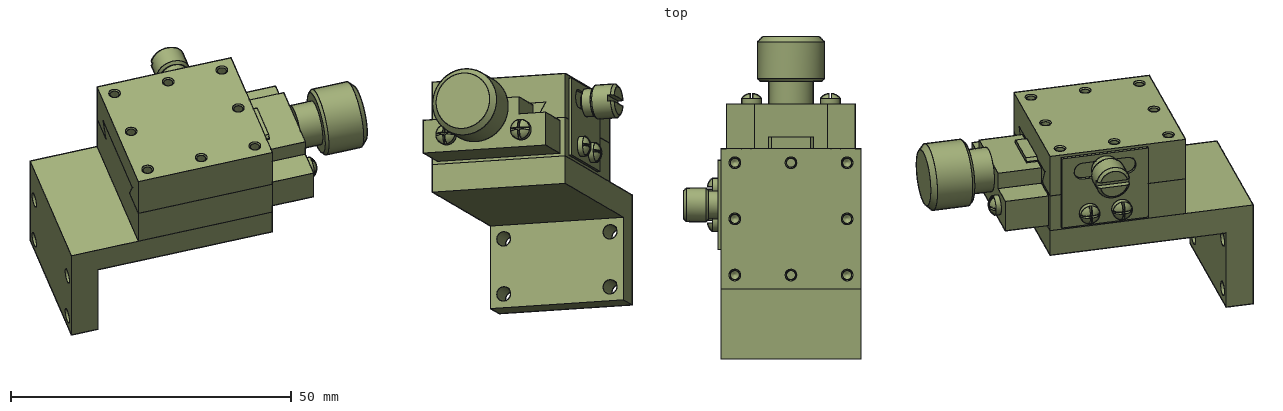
import cadquery as cq
import math


stage_width = 25.0
stage_length = 25.0
carriage_height = 8.0
base_height = 7.0
left_side = -stage_width / 2
base_bottom = -base_height

bracket_thickness = 5.0
bracket_overhang = 12.5
leg_drop = 15.0
bracket_hole_diameter = 2.6
bracket_hole_spacing_x = 20.0
bracket_hole_spacing_z = 10.0
bracket_hole_margin = 2.55

rail_height = 3.0
rail_top_width = 17.7
rail_flank_angle = 60
rail_neck_width = rail_top_width - 2 * rail_height / math.tan(math.radians(rail_flank_angle))

mount_hole_spacing = 20.0
mount_hole_diameter = 1.6
mount_hole_depth = 6.0
mount_hole_mouth_diameter = 2.05
drill_point_angle = 118

tab_width = 8.0
tab_length = 2.05
tab_height = 0.75
tab_chamfer = 0.5

block_width = 23.0
block_length = 8.0
block_centre_width = 13.0
block_top = 2.6
block_wing_top = -0.5
block_bottom_gap = 0.5
block_bottom = base_bottom + block_bottom_gap

knob_diameter = 12.0
knob_length = 8.0
knob_rear_chamfer = 1.0
knob_front_chamfer = 0.5
knob_neck_diameter = 8.0
knob_neck_length = 4.0

plate_thickness = 0.5
plate_length = 16.0
plate_rear_setback = 2.0
plate_edge_gap = 0.5
plate_height = base_height + carriage_height - 2 * plate_edge_gap
plate_centre_y = -plate_rear_setback - plate_length / 2
plate_centre_z = base_bottom + plate_edge_gap + plate_height / 2
plate_outer_x = left_side - plate_thickness
plate_slot_length = 11.4
plate_slot_height = 3.2

clamp_axis_z = carriage_height - 3.5
clamp_protrusion = 6.65
clamp_head_diameter = 6.1
clamp_head_length = 4.5
clamp_outer_chamfer = 0.5
clamp_inner_chamfer = 0.45
clamp_collar_diameter = 5.0
clamp_stem_diameter = 3.0
clamp_slot_width = 1.1
clamp_slot_depth = 1.1
clamp_end_x = left_side - clamp_protrusion

dome_screw_diameter = 3.55
dome_rim_height = 1.0
dome_rise = 0.9
dome_slot_width = 0.4
rear_screw_spacing = 14.05
rear_screw_z = carriage_height - 11.5
side_screw_spacing = 6.0
side_screw_z = carriage_height - 12.0


def rail_profile():
    """Dovetail section in XZ, standing on the sliding plane."""
    return (
        cq.Workplane("XZ")
        .moveTo(-rail_neck_width / 2, 0)
        .lineTo(rail_neck_width / 2, 0)
        .lineTo(rail_top_width / 2, rail_height)
        .lineTo(-rail_top_width / 2, rail_height)
        .close()
    )


def stage_block(bottom, height):
    """Full-width block whose rear face is at Y = 0."""
    return (
        cq.Workplane("XY")
        .box(stage_width, stage_length, height, centered=(True, False, False))
        .translate((0, -stage_length, bottom))
    )


def dome_screw_head():
    """Dome head standing on the XY plane with its axis along +Z and a cross slot in the dome."""
    radius = dome_screw_diameter / 2
    full_height = dome_rim_height + dome_rise
    sphere_radius = (radius**2 + dome_rise**2) / (2 * dome_rise)
    middle_angle = math.asin(radius / sphere_radius) / 2
    arc_middle = (
        sphere_radius * math.sin(middle_angle),
        full_height - sphere_radius * (1 - math.cos(middle_angle)),
    )
    head = (
        cq.Workplane("XZ")
        .lineTo(radius, 0)
        .lineTo(radius, dome_rim_height)
        .threePointArc(arc_middle, (0, full_height))
        .close()
        .revolve(360, (0, 0, 0), (0, 1, 0))
    )
    for length_x, length_y in [
        (dome_screw_diameter, dome_slot_width),
        (dome_slot_width, dome_screw_diameter),
    ]:
        slot = cq.Workplane("XY").box(length_x, length_y, dome_rise, centered=(True, True, False))
        head = head.cut(slot.translate((0, 0, dome_rim_height)))
    return head


def make_bracket():
    """Angle bracket: a flange under the base and a drilled leg hanging at its front end."""
    flange_top = base_bottom
    front = -stage_length - bracket_overhang
    leg_bottom = flange_top - bracket_thickness - leg_drop
    outline = [
        (0, flange_top),
        (front, flange_top),
        (front, leg_bottom),
        (front + bracket_thickness, leg_bottom),
        (front + bracket_thickness, flange_top - bracket_thickness),
        (0, flange_top - bracket_thickness),
    ]
    bracket = cq.Workplane("YZ").polyline(outline).close().extrude(stage_width / 2, both=True)
    hole_pattern_z = leg_bottom + bracket_hole_margin + bracket_hole_spacing_z / 2
    holes = (
        cq.Workplane("XZ", origin=(0, front, hole_pattern_z))
        .rarray(bracket_hole_spacing_x, bracket_hole_spacing_z, 2, 2)
        .circle(bracket_hole_diameter / 2)
        .extrude(-bracket_thickness)
    )
    return bracket.cut(holes)


def make_bearing_block():
    """Stepped block behind the base: a raised centre between two lower wings."""
    return (
        cq.Workplane("XZ")
        .moveTo(-block_width / 2, block_bottom)
        .lineTo(block_width / 2, block_bottom)
        .lineTo(block_width / 2, block_wing_top)
        .lineTo(block_centre_width / 2, block_wing_top)
        .lineTo(block_centre_width / 2, block_top)
        .lineTo(-block_centre_width / 2, block_top)
        .lineTo(-block_centre_width / 2, block_wing_top)
        .lineTo(-block_width / 2, block_wing_top)
        .close()
        .extrude(-block_length)
    )


def make_knob():
    """Adjusting knob and its neck, turned about the Y axis."""
    neck_radius = knob_neck_diameter / 2
    knob_radius = knob_diameter / 2
    knob_front = block_length + knob_neck_length
    knob_rear = knob_front + knob_length
    return (
        cq.Workplane("XY")
        .moveTo(0, block_length)
        .lineTo(neck_radius, block_length)
        .lineTo(neck_radius, knob_front)
        .lineTo(knob_radius - knob_front_chamfer, knob_front)
        .lineTo(knob_radius, knob_front + knob_front_chamfer)
        .lineTo(knob_radius, knob_rear - knob_rear_chamfer)
        .lineTo(knob_radius - knob_rear_chamfer, knob_rear)
        .lineTo(0, knob_rear)
        .close()
        .revolve(360, (0, 0, 0), (0, 1, 0))
    )


def make_lock_plate():
    """Thin plate on the left side with a slot along the travel for the clamp screw."""
    plate = (
        cq.Workplane("YZ", origin=(plate_outer_x, plate_centre_y, plate_centre_z))
        .rect(plate_length, plate_height)
        .extrude(plate_thickness)
    )
    slot = (
        cq.Workplane("YZ", origin=(plate_outer_x, plate_centre_y, clamp_axis_z))
        .slot2D(plate_slot_length, plate_slot_height)
        .extrude(plate_thickness)
    )
    return plate.cut(slot)


def make_base():
    """Lower slide with its rail, bearing block, knob, lock plate and fixing screws."""
    base = stage_block(base_bottom, base_height)
    base = base.union(rail_profile().extrude(stage_length))
    base = base.union(make_bearing_block())
    base = base.union(make_knob())
    base = base.union(make_lock_plate())
    rear_head = dome_screw_head().rotate((0, 0, 0), (1, 0, 0), -90)
    side_head = dome_screw_head().rotate((0, 0, 0), (0, 1, 0), -90)
    for side in (-1, 1):
        rear_x = side * rear_screw_spacing / 2
        base = base.union(rear_head.translate((rear_x, block_length, rear_screw_z)))
        side_y = plate_centre_y + side * side_screw_spacing / 2
        base = base.union(side_head.translate((plate_outer_x, side_y, side_screw_z)))
    return base


def mount_hole():
    """Blind drilled hole with a chamfered mouth, entering downwards from the XY plane."""
    radius = mount_hole_diameter / 2
    mouth_radius = mount_hole_mouth_diameter / 2
    point_depth = radius / math.tan(math.radians(drill_point_angle / 2))
    return (
        cq.Workplane("XZ")
        .lineTo(mouth_radius, 0)
        .lineTo(radius, radius - mouth_radius)
        .lineTo(radius, -mount_hole_depth)
        .lineTo(0, -mount_hole_depth - point_depth)
        .close()
        .revolve(360, (0, 0, 0), (0, 1, 0))
    )


def make_tab():
    """Low tab on the rear of the carriage, resting on the bearing block."""
    tab = (
        cq.Workplane("XY")
        .box(tab_width, tab_length, tab_height, centered=(True, False, False))
        .translate((0, 0, block_top))
    )
    return tab.edges("|Y and >Z").chamfer(tab_chamfer)


def make_clamp_screw():
    """Slotted clamp screw: its stem passes through the plate slot and its collar bears on the plate."""
    head_radius = clamp_head_diameter / 2
    collar_radius = clamp_collar_diameter / 2
    stem_radius = clamp_stem_diameter / 2
    head_inner_x = clamp_end_x + clamp_head_length
    screw = (
        cq.Workplane("XY")
        .moveTo(clamp_end_x, 0)
        .lineTo(clamp_end_x, head_radius - clamp_outer_chamfer)
        .lineTo(clamp_end_x + clamp_outer_chamfer, head_radius)
        .lineTo(head_inner_x - clamp_inner_chamfer, head_radius)
        .lineTo(head_inner_x, head_radius - clamp_inner_chamfer)
        .lineTo(head_inner_x, collar_radius)
        .lineTo(plate_outer_x, collar_radius)
        .lineTo(plate_outer_x, stem_radius)
        .lineTo(left_side, stem_radius)
        .lineTo(left_side, 0)
        .close()
        .revolve(360, (0, 0, 0), (1, 0, 0))
    )
    slot = (
        cq.Workplane("XY")
        .box(clamp_slot_depth, clamp_head_diameter, clamp_slot_width, centered=(False, True, True))
        .translate((clamp_end_x, 0, 0))
    )
    return screw.cut(slot).translate((0, plate_centre_y, clamp_axis_z))


def make_carriage():
    """Upper slide with its dovetail groove, mounting holes, rear tab and clamp screw."""
    carriage = stage_block(0, carriage_height)
    carriage = carriage.cut(rail_profile().extrude(stage_length))
    centre_y = -stage_length / 2
    for column in (-1, 0, 1):
        for row in (-1, 0, 1):
            if column == 0 and row == 0:
                continue
            x = column * mount_hole_spacing / 2
            y = centre_y + row * mount_hole_spacing / 2
            carriage = carriage.cut(mount_hole().translate((x, y, carriage_height)))
    carriage = carriage.union(make_tab())
    return carriage.union(make_clamp_screw())


bracket = make_bracket()
base = make_base()
carriage = make_carriage()

result = cq.Compound.makeCompound([bracket.val(), base.val(), carriage.val()])